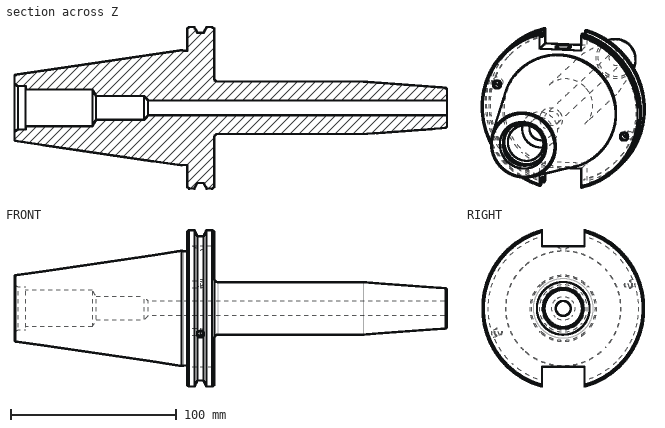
import cadquery as cq
import math

total_length = 261.5
taper_end = 101.0
neck_start = 102.3
flange_start = 104.5
flange_end = 120.9
nose_start = 211.0

taper_rear_diameter = 40.3
taper_front_diameter = 69.8
neck_diameter = 69.3
flange_diameter = 98.0
shank_diameter = 32.0
tip_diameter = 24.5

rear_chamfer = 0.8
tip_chamfer = 1.0
rim_chamfer_width = 1.3
rim_chamfer_depth = 1.0
root_fillet = 2.0

groove_center = 112.5
groove_top_width = 7.3
groove_floor_width = 3.7
groove_floor_diameter = 91.0

mouth_diameter = 28.8
mouth_length = 2.0
counterbore_diameter = 26.2
counterbore_depth = 6.8
rear_bore_diameter = 22.0
rear_bore_depth = 47.0
middle_bore_diameter = 14.0
middle_bore_depth = 78.5
through_diameter = 9.0
bore_cone_length = 2.4

slot_width = 25.6
upper_slot_floor = 37.7
lower_slot_floor = 35.3
dimple_diameter = 9.5
dimple_depth = 2.5

coolant_angle = 20.0
coolant_circle_radius = 41.9
coolant_mouth_diameter = 5.0
coolant_mouth_depth = 1.0
coolant_diameter = 4.2


def revolve_profile(points):
    """Revolve (x, radius) points, given from end to end, around the X axis."""
    axis_points = [(points[0][0], 0), *points, (points[-1][0], 0)]
    return cq.Workplane("XY").polyline(axis_points).close().revolve(360, (0, 0), (1, 0))


def make_taper():
    rear_radius = taper_rear_diameter / 2
    return revolve_profile([
        (0, rear_radius - rear_chamfer),
        (rear_chamfer, rear_radius),
        (taper_end, taper_front_diameter / 2),
        (neck_start, neck_diameter / 2),
        (flange_start, neck_diameter / 2),
    ])


def make_flange():
    rim = flange_diameter / 2
    chamfered_rim = rim - rim_chamfer_depth
    groove_floor = groove_floor_diameter / 2
    return revolve_profile([
        (flange_start, chamfered_rim),
        (flange_start + rim_chamfer_width, rim),
        (groove_center - groove_top_width / 2, rim),
        (groove_center - groove_floor_width / 2, groove_floor),
        (groove_center + groove_floor_width / 2, groove_floor),
        (groove_center + groove_top_width / 2, rim),
        (flange_end - rim_chamfer_width, rim),
        (flange_end, chamfered_rim),
    ])


def make_shank():
    radius = shank_diameter / 2
    tip_radius = tip_diameter / 2
    fillet_reach = root_fillet * (1 - math.sqrt(0.5))
    return (
        cq.Workplane("XY")
        .moveTo(flange_end, 0)
        .lineTo(flange_end, radius + root_fillet)
        .threePointArc(
            (flange_end + fillet_reach, radius + fillet_reach),
            (flange_end + root_fillet, radius),
        )
        .lineTo(nose_start, radius)
        .lineTo(total_length - tip_chamfer, tip_radius)
        .lineTo(total_length, tip_radius - tip_chamfer)
        .lineTo(total_length, 0)
        .close()
        .revolve(360, (0, 0), (1, 0))
    )


def make_bore():
    return revolve_profile([
        (0, mouth_diameter / 2),
        (mouth_length, counterbore_diameter / 2),
        (counterbore_depth, counterbore_diameter / 2),
        (counterbore_depth, rear_bore_diameter / 2),
        (rear_bore_depth, rear_bore_diameter / 2),
        (rear_bore_depth + bore_cone_length, middle_bore_diameter / 2),
        (middle_bore_depth, middle_bore_diameter / 2),
        (middle_bore_depth + bore_cone_length, through_diameter / 2),
        (total_length, through_diameter / 2),
    ])


def make_slot(floor_height, direction):
    """Drive slot open outward along +Z (direction 1) or -Z (direction -1)."""
    height = flange_diameter / 2
    middle = direction * (floor_height + height / 2)
    return cq.Workplane("XY").box(flange_end - flange_start, slot_width, height).translate(
        ((flange_start + flange_end) / 2, 0, middle)
    )


def make_dimple():
    """Conical countersink in the floor of the upper drive slot."""
    return cq.Workplane(obj=cq.Solid.makeCone(
        dimple_diameter / 2, 0, dimple_depth,
        cq.Vector(groove_center, 0, upper_slot_floor), cq.Vector(0, 0, -1),
    ))


def make_coolant_holes(side):
    """Connected axial and radial holes on the +Y (side 1) or -Y (side -1) half."""
    angle = math.radians(coolant_angle)
    outward = cq.Vector(0, side * math.cos(angle), side * math.sin(angle))
    along_axis = cq.Vector(1, 0, 0)
    on_face = outward * coolant_circle_radius + along_axis * flange_start
    at_groove = outward * coolant_circle_radius + along_axis * groove_center
    radial_length = flange_diameter / 2 - coolant_circle_radius
    mouth = cq.Solid.makeCylinder(coolant_mouth_diameter / 2, coolant_mouth_depth, on_face, along_axis)
    axial = cq.Solid.makeCylinder(
        coolant_diameter / 2, groove_center - flange_start, on_face, along_axis
    )
    radial = cq.Solid.makeCylinder(coolant_diameter / 2, radial_length, at_groove, outward)
    return cq.Workplane(obj=mouth.fuse(axial, radial))


result = make_taper().union(make_flange()).union(make_shank()).cut(make_bore())
result = result.cut(make_slot(upper_slot_floor, 1)).cut(make_slot(lower_slot_floor, -1))
result = result.cut(make_dimple())
for side in (1, -1):
    result = result.cut(make_coolant_holes(side))